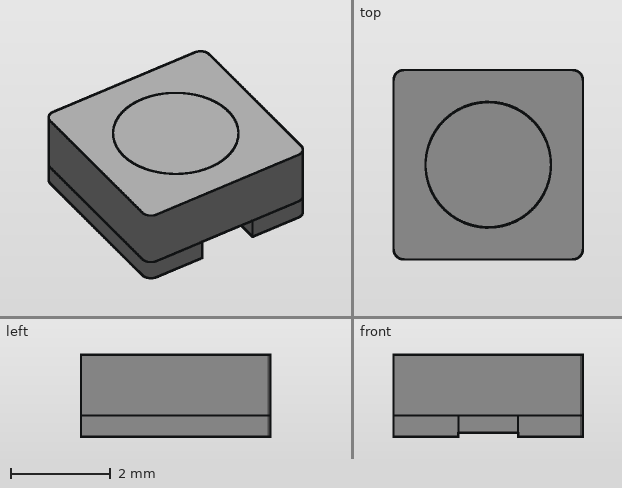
import cadquery as cq

side = 3.8
height = 1.65
corner_radius = 0.205

foot_height = 0.425
foot_gap = 1.2

bore_diameter = 2.52
core_diameter = 2.51
core_bottom = 0.08


def rounded_square(thickness):
    """Square plate with rounded vertical corners, resting on Z = 0."""
    return (
        cq.Workplane("XY")
        .rect(side, side)
        .extrude(thickness)
        .edges("|Z")
        .fillet(corner_radius)
    )


def make_ring():
    """Square ring with a round through bore, resting on top of the feet."""
    ring_height = height - foot_height
    bore = cq.Workplane("XY").circle(bore_diameter / 2).extrude(ring_height)
    return rounded_square(ring_height).cut(bore).translate((0, 0, foot_height))


def make_core():
    """Cylinder flush with the ring top, joined to the two feet below."""
    channel = cq.Workplane("XY").rect(foot_gap, side).extrude(foot_height)
    feet = rounded_square(foot_height).cut(channel)
    cylinder = (
        cq.Workplane("XY")
        .workplane(offset=core_bottom)
        .circle(core_diameter / 2)
        .extrude(height - core_bottom)
    )
    return cylinder.union(feet)


ring = make_ring()
core = make_core()

result = cq.Compound.makeCompound([ring.val(), core.val()])